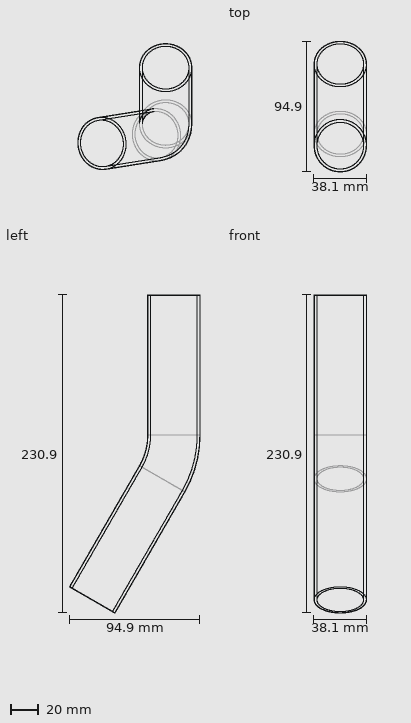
import cadquery as cq
import math

OUTER_DIAMETER = 38.1
INNER_DIAMETER = 33.88
LEG_LENGTH = 101.6
BEND_RADIUS = 63.5
BEND_ANGLE = 30.0


def bend_point(angle_degrees):
    """Centreline point (Y, Z) after turning by an angle from the upper leg."""
    angle = math.radians(angle_degrees)
    y = BEND_RADIUS * (1 - math.cos(angle))
    z = -BEND_RADIUS * math.sin(angle)
    return y, z


def centreline():
    """Vertical upper leg, bend towards +Y, then the sloping lower leg.

    The bend starts at the origin, where the upper leg meets it.
    """
    bend_end = bend_point(BEND_ANGLE)
    slope = math.radians(BEND_ANGLE)
    lower_end = (
        bend_end[0] + LEG_LENGTH * math.sin(slope),
        bend_end[1] - LEG_LENGTH * math.cos(slope),
    )
    return (
        cq.Workplane("YZ")
        .moveTo(0, LEG_LENGTH)
        .lineTo(0, 0)
        .threePointArc(bend_point(BEND_ANGLE / 2), bend_end)
        .lineTo(*lower_end)
    )


def bent_tube():
    """Ring section at the top of the upper leg, swept along the centreline."""
    return (
        cq.Workplane("XY", origin=(0, 0, LEG_LENGTH))
        .circle(OUTER_DIAMETER / 2)
        .circle(INNER_DIAMETER / 2)
        .sweep(centreline())
    )


result = bent_tube()